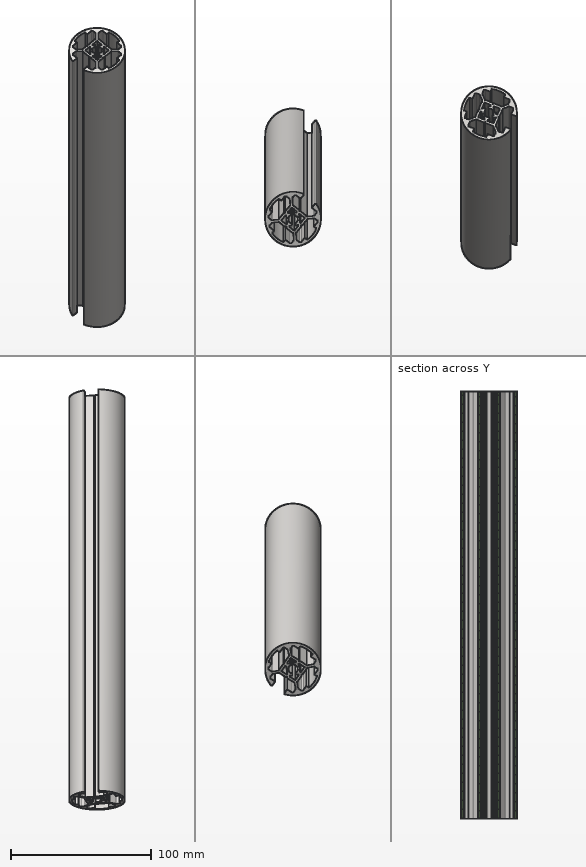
import cadquery as cq
import math

LENGTH = 304.8
OUTER_DIAMETER = 40.0
OUTER_RADIUS = OUTER_DIAMETER / 2
SKIN = 2.0

MOUTH_HALF_WIDTH = 5.2
MOUTH_EDGE_RADIUS = 0.5
CHANNEL_HALF_WIDTH = 10.0
CHANNEL_CORNER_RADIUS = 1.0
LIP_INNER_FACE = 15.0
CORE_HALF_WIDTH = 8.0
WEB_THICKNESS = 1.8
GROOVE_HALF_WIDTH = 0.5
GROOVE_DEPTH = 0.5

CORE_WALL = 1.98
CAVITY_HALF_WIDTH = CORE_HALF_WIDTH - CORE_WALL
BORE_RADIUS = 3.5
NECK_HALF_WIDTH = 1.2
NECK_TOP = 5.2
BOSS_HALF_WIDTH = 2.5
BOSS_WIDEST = 4.3
BOSS_TIP_HALF_WIDTH = 1.5

SIDES = 4
OPEN_SIDE = 0


def mirrored_prism(half_outline):
    """Extrude an outline given by its +X half, mirrored across the YZ plane."""
    other_half = [(-x, y) for x, y in reversed(half_outline) if x > 0]
    return cq.Workplane("XY").polyline(half_outline + other_half).close().extrude(LENGTH)


def rod(radius):
    return cq.Workplane("XY").circle(radius).extrude(LENGTH)


def turned(body, side):
    """Turn a body built for the -Y side to another side of the profile."""
    return body.rotate((0, 0, 0), (0, 0, 1), side * 360 / SIDES)


def open_channel():
    """T-shaped channel facing -Y, with its mouth running out to the outer surface."""
    web_offset = WEB_THICKNESS / math.sqrt(2)
    body = mirrored_prism([
        (0, -CORE_HALF_WIDTH + GROOVE_DEPTH),
        (GROOVE_HALF_WIDTH, -CORE_HALF_WIDTH),
        (CORE_HALF_WIDTH - web_offset, -CORE_HALF_WIDTH),
        (CHANNEL_HALF_WIDTH, -CHANNEL_HALF_WIDTH - web_offset),
        (CHANNEL_HALF_WIDTH, -LIP_INNER_FACE),
        (MOUTH_HALF_WIDTH, -LIP_INNER_FACE),
        (MOUTH_HALF_WIDTH, -OUTER_RADIUS),
    ])
    return body.edges("|Z and (<X or >X)").fillet(CHANNEL_CORNER_RADIUS)


def closed_channel():
    """The same channel, ending at the inside of the skin."""
    return open_channel().intersect(rod(OUTER_RADIUS - SKIN))


def boss():
    """Flared boss standing on the -Y core wall, its tip hollowed by the bore."""
    tip_height = math.sqrt(BORE_RADIUS**2 - BOSS_TIP_HALF_WIDTH**2)
    body = mirrored_prism([
        (NECK_HALF_WIDTH, -CAVITY_HALF_WIDTH),
        (NECK_HALF_WIDTH, -NECK_TOP),
        (BOSS_HALF_WIDTH, -BOSS_WIDEST),
        (BOSS_TIP_HALF_WIDTH, -tip_height),
    ])
    return body.cut(rod(BORE_RADIUS))


def core_cavity():
    """Square cavity through the core, less the four bosses."""
    cavity_width = 2 * CAVITY_HALF_WIDTH
    cavity = cq.Workplane("XY").rect(cavity_width, cavity_width).extrude(LENGTH)
    for side in range(SIDES):
        cavity = cavity.cut(turned(boss(), side))
    return cavity


profile = rod(OUTER_RADIUS).cut(core_cavity())
for side in range(SIDES):
    channel = open_channel() if side == OPEN_SIDE else closed_channel()
    profile = profile.cut(turned(channel, side))

result = profile.edges("|Z").edges("<Y").fillet(MOUTH_EDGE_RADIUS)